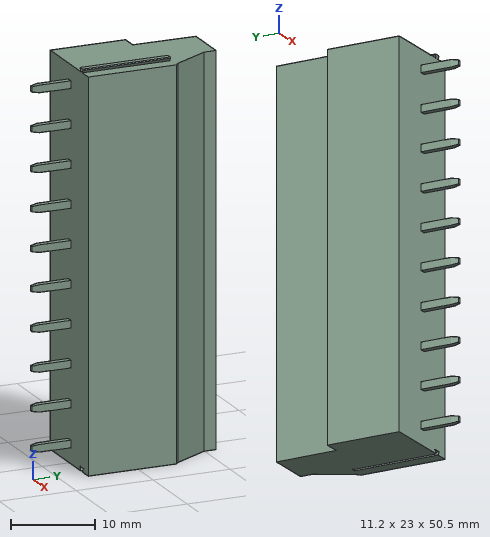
import cadquery as cq

pole_count = 10
pitch = 5.0
body_height = pole_count * pitch
body_width = 11.2
body_depth = 18.0

shoulder_y = 9.8
shoulder_x = 2.1
nose_left_x = 2.2
nose_right_x = 8.15
slope_start_y = 16.4
slope_end_x = 10.75
slope_end_y = 11.85
right_side_top_y = 11.45

dovetail_x = 9.25
dovetail_wide = 1.0
dovetail_narrow = 0.45
dovetail_height = 0.5
dovetail_length = 11.35
tongue_chamfer = 0.15

pin_x = 5.7
pin_width = 0.75
pin_thickness = 0.95
pin_length = 5.0
tip_length = 0.9
tip_width = 0.4
tip_thickness = 0.65


def make_body():
    """Stepped housing with a sloped right side and a slightly leaning left nose face."""
    return (
        cq.Workplane("XY")
        .moveTo(0, 0)
        .lineTo(body_width, 0)
        .lineTo(body_width, right_side_top_y)
        .lineTo(slope_end_x, slope_end_y)
        .lineTo(nose_right_x, slope_start_y)
        .lineTo(nose_right_x, body_depth)
        .lineTo(nose_left_x, body_depth)
        .lineTo(shoulder_x, shoulder_y)
        .lineTo(0, shoulder_y)
        .close()
        .extrude(body_height)
    )


def make_dovetail(base_z):
    """Dovetail bar running back from the pin face, narrow side at base_z."""
    return (
        cq.Workplane("XZ")
        .moveTo(dovetail_x - dovetail_narrow / 2, base_z)
        .lineTo(dovetail_x + dovetail_narrow / 2, base_z)
        .lineTo(dovetail_x + dovetail_wide / 2, base_z + dovetail_height)
        .lineTo(dovetail_x - dovetail_wide / 2, base_z + dovetail_height)
        .close()
        .extrude(-dovetail_length)
    )


def make_pin(center_z):
    """Rectangular pin along -Y with a tapered tip."""
    shank_length = pin_length - tip_length
    pin_face = cq.Workplane("XZ", origin=(pin_x, 0, center_z))
    shank = pin_face.rect(pin_width, pin_thickness).extrude(shank_length)
    tip = (
        pin_face.workplane(offset=shank_length)
        .rect(pin_width, pin_thickness)
        .workplane(offset=tip_length)
        .rect(tip_width, tip_thickness)
        .loft(ruled=True)
    )
    return shank.union(tip)


def make_tongue():
    """Dovetail bar on the top end with both upper long edges chamfered."""
    return (
        make_dovetail(body_height)
        .faces(">Z")
        .edges("|Y")
        .chamfer(tongue_chamfer)
    )


result = make_body().union(make_tongue()).cut(make_dovetail(0))
for index in range(pole_count):
    result = result.union(make_pin((index + 0.5) * pitch))